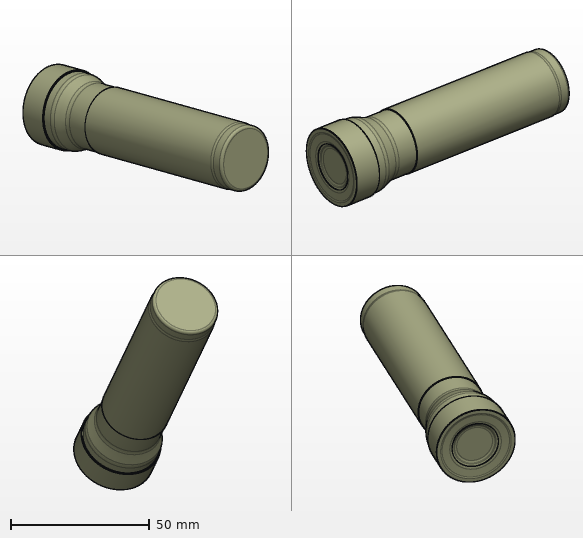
import cadquery as cq
import math

total_length = 100.0

nut_radius = 15.0
nut_length = 10.6
nut_edge_chamfer = 0.2

rim_inner_radius = 13.4
dish_outer_radius = 12.8
dish_inner_radius = 9.8
bore_radius = 8.8
throat_outer_radius = 8.0
nose_setback = 0.3
throat_inner_radius = 7.7
floor_radius = 6.8
dish_slope = math.radians(5.0)
step_slope = math.radians(17.0)
throat_slope = math.radians(30.0)
floor_slope = 0.0

collar_radius = 28.8 / 2
neck_radius = 24.5 / 2
shank_radius = 25.0 / 2
cone_start = 14.7
cone_angle = 20.0
cone_blend_radius = 5.0
cone_end = cone_start + (collar_radius - neck_radius) / math.tan(math.radians(cone_angle))
shank_start = 29.5
shank_end = 94.7
tail_start = 95.8
tail_fillet = 1.1
shank_step = shank_radius - neck_radius

half_angle = math.radians(cone_angle / 2)
blend_tangent = cone_blend_radius * math.tan(half_angle)
blend_run = blend_tangent * math.cos(2 * half_angle)
blend_drop = blend_tangent * math.sin(2 * half_angle)
blend_mid_run = cone_blend_radius * math.sin(half_angle)
blend_mid_drop = cone_blend_radius * (1 - math.cos(half_angle))
collar_end = cone_start - blend_tangent
neck_start = cone_end + blend_tangent

arc_inset = 1 - math.sqrt(0.5)


def turned(outline):
    """Close an (X, radius) outline and revolve it about the X axis."""
    return outline.close().revolve(360, (0, 0, 0), (1, 0, 0))


def cone_depth(outer_radius, inner_radius, slope):
    """Depth gained along a straight slope between two radii."""
    return (outer_radius - inner_radius) * math.tan(slope)


def face_blend_depth(outer_radius, inner_radius, outer_slope, inner_slope):
    """Depth gained along an arc tangent to the slopes at its two ends."""
    return cone_depth(outer_radius, inner_radius, (outer_slope + inner_slope) / 2)


def face_blend_middle(depth, outer_radius, inner_radius, outer_slope, inner_slope):
    """Middle point of an arc that starts at the given depth and outer radius."""
    arc_radius = (outer_radius - inner_radius) / (math.sin(inner_slope) - math.sin(outer_slope))
    middle_slope = (outer_slope + inner_slope) / 2
    return (
        depth + arc_radius * (math.cos(outer_slope) - math.cos(middle_slope)),
        outer_radius - arc_radius * (math.sin(middle_slope) - math.sin(outer_slope)),
    )


mouth_arc = (dish_inner_radius, bore_radius, dish_slope, step_slope)
floor_arc = (throat_inner_radius, floor_radius, throat_slope, floor_slope)
rim_depth = cone_depth(rim_inner_radius, dish_outer_radius, step_slope)
dish_depth = rim_depth + cone_depth(dish_outer_radius, dish_inner_radius, dish_slope)
mouth_depth = dish_depth + face_blend_depth(*mouth_arc)
nose_depth = mouth_depth + nose_setback
throat_depth = nose_depth + cone_depth(bore_radius, throat_outer_radius, step_slope)
throat_end_depth = throat_depth + cone_depth(throat_outer_radius, throat_inner_radius, throat_slope)
floor_depth = throat_end_depth + face_blend_depth(*floor_arc)


def make_nut():
    """Nut ring with a dished face whose rounded mouth leads into the bore."""
    return turned(
        cq.Workplane("XY")
        .moveTo(0, rim_inner_radius)
        .lineTo(0, nut_radius - nut_edge_chamfer)
        .lineTo(nut_edge_chamfer, nut_radius)
        .lineTo(nut_length - nut_edge_chamfer, nut_radius)
        .lineTo(nut_length, nut_radius - nut_edge_chamfer)
        .lineTo(nut_length, bore_radius)
        .lineTo(mouth_depth, bore_radius)
        .threePointArc(
            face_blend_middle(dish_depth, *mouth_arc),
            (dish_depth, dish_inner_radius),
        )
        .lineTo(rim_depth, dish_outer_radius)
    )


def make_holder():
    """Nose filling the nut bore, then collar, cone, neck and straight shank."""
    tail_middle = (
        total_length - tail_fillet * arc_inset,
        neck_radius - tail_fillet * arc_inset,
    )
    return turned(
        cq.Workplane("XY")
        .moveTo(floor_depth, 0)
        .lineTo(floor_depth, floor_radius)
        .threePointArc(
            face_blend_middle(throat_end_depth, *floor_arc),
            (throat_end_depth, throat_inner_radius),
        )
        .lineTo(throat_depth, throat_outer_radius)
        .lineTo(nose_depth, bore_radius)
        .lineTo(nut_length, bore_radius)
        .lineTo(nut_length, collar_radius)
        .lineTo(collar_end, collar_radius)
        .threePointArc(
            (collar_end + blend_mid_run, collar_radius - blend_mid_drop),
            (cone_start + blend_run, collar_radius - blend_drop),
        )
        .lineTo(cone_end - blend_run, neck_radius + blend_drop)
        .threePointArc(
            (neck_start - blend_mid_run, neck_radius + blend_mid_drop),
            (neck_start, neck_radius),
        )
        .lineTo(shank_start, neck_radius)
        .lineTo(shank_start + shank_step, shank_radius)
        .lineTo(shank_end, shank_radius)
        .lineTo(tail_start, neck_radius)
        .lineTo(total_length - tail_fillet, neck_radius)
        .threePointArc(tail_middle, (total_length, neck_radius - tail_fillet))
        .lineTo(total_length, 0)
    )


nut = make_nut()
holder = make_holder()

result = cq.Compound.makeCompound([nut.val(), holder.val()])